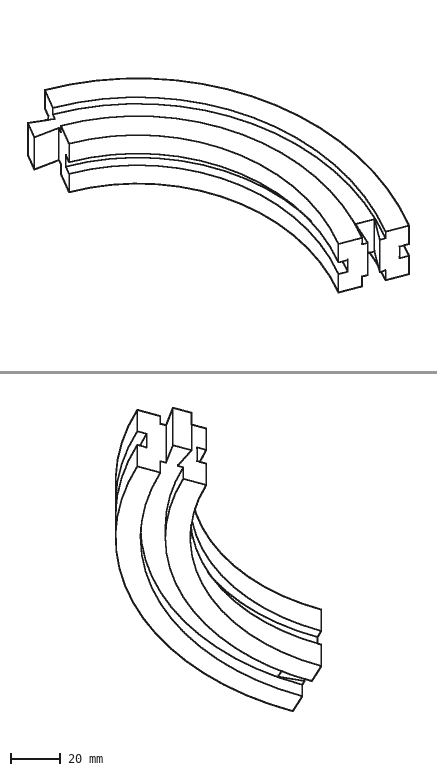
import cadquery as cq

mid_radius = 100.0
width = 30.0
height = width
inner_radius = mid_radius - width / 2
outer_radius = mid_radius + width / 2

wide_groove_width = 10.0
side_groove_width = 7.2
groove_depth = 4.0
bottom_groove_depth = 6.0

joint_length = 11.0
neck_width = 5.0
tip_width = 8.1

web_top = height / 2 - groove_depth
web_bottom = -height / 2 + bottom_groove_depth


def quarter_ring(r_inner, r_outer, z_low, z_high):
    """Ring sector in the -X, +Y quadrant."""
    depth = z_high - z_low
    ring = cq.Workplane("XY").workplane(offset=z_low).circle(r_outer).circle(r_inner).extrude(depth)
    quadrant = (
        cq.Workplane("XY").workplane(offset=z_low)
        .rect(-r_outer, r_outer, centered=False).extrude(depth)
    )
    return ring.intersect(quadrant)


def dovetail(z_low, z_high):
    """Dovetail with its neck on the Y axis, widening toward -X."""
    return (
        cq.Workplane("XY").workplane(offset=z_low)
        .polyline([
            (0, -neck_width / 2),
            (-joint_length, -tip_width / 2),
            (-joint_length, tip_width / 2),
            (0, neck_width / 2),
        ])
        .close().extrude(z_high - z_low)
    )


result = quarter_ring(inner_radius, outer_radius, -height / 2, height / 2)

groove_inner = mid_radius - wide_groove_width / 2
groove_outer = mid_radius + wide_groove_width / 2
result = result.cut(quarter_ring(groove_inner, groove_outer, web_top, height / 2))
result = result.cut(quarter_ring(groove_inner, groove_outer, -height / 2, web_bottom))

side_half = side_groove_width / 2
result = result.cut(quarter_ring(inner_radius, inner_radius + groove_depth, -side_half, side_half))
result = result.cut(quarter_ring(outer_radius - groove_depth, outer_radius, -side_half, side_half))

result = result.cut(dovetail(-height / 2, height / 2).translate((0, mid_radius, 0)))

tab = dovetail(web_bottom, web_top).rotate((0, 0, 0), (0, 0, 1), 90).translate((-mid_radius, 0, 0))
result = result.union(tab)